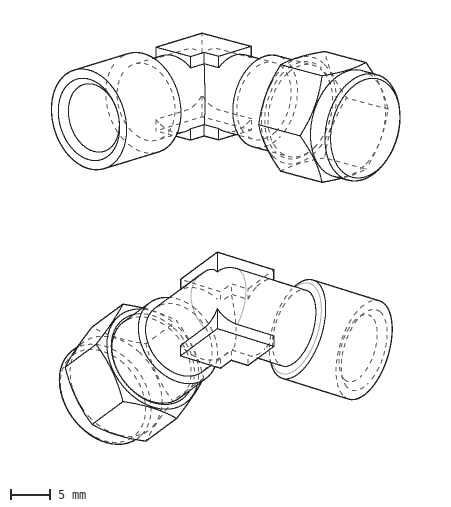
import cadquery as cq
import math

arm_radius = 5.0
shoulder_start = 10.5
shoulder_radius = 5.95
shoulder_rise = 0.2

block_half_width = 3.0
block_reach = 5.5
block_half_height = 5.5

socket_radius = 6.5
socket_end = 21.0
socket_chamfer_length = 0.3
recess_mouth_radius = 5.3
recess_floor_radius = 4.4
recess_depth = recess_mouth_radius - recess_floor_radius

nut_start = 16.5
nut_end = 25.0
nut_across_flats = 14.0
nut_across_corners = nut_across_flats / math.cos(math.radians(30))
nut_chamfer_angle = math.radians(30)
countersink_radius = 6.25
countersink_depth = countersink_radius - shoulder_radius

collar_radius = 6.9
collar_end = 28.0
collar_chamfer = 0.5


def revolve_about_x(points):
    """Revolve a closed (axial, radial) outline about the X axis."""
    return cq.Workplane("XY").polyline(points).close().revolve(360, (0, 0, 0), (1, 0, 0))


def make_nut_arm():
    """Arm along +X with its shoulder, running into the chamfered collar."""
    return revolve_about_x([
        (0, 0),
        (0, arm_radius),
        (shoulder_start, arm_radius),
        (shoulder_start + shoulder_rise, shoulder_radius),
        (nut_end, shoulder_radius),
        (nut_end, collar_radius),
        (collar_end - collar_chamfer, collar_radius),
        (collar_end, collar_radius - collar_chamfer),
        (collar_end, 0),
    ])


def make_socket_arm():
    """Arm along -Y ending in the wider socket with a shallow conical recess."""
    socket_start = shoulder_start + shoulder_rise
    arm = revolve_about_x([
        (0, 0),
        (0, arm_radius),
        (shoulder_start, arm_radius),
        (socket_start, shoulder_radius),
        (socket_start + socket_chamfer_length, socket_radius),
        (socket_end, socket_radius),
        (socket_end, recess_mouth_radius),
        (socket_end - recess_depth, recess_floor_radius),
        (socket_end - recess_depth, 0),
    ])
    return arm.rotate((0, 0, 0), (0, 0, 1), -90)


def make_corner_block():
    """L-shaped prism giving wrench flats above and below the elbow."""
    return (
        cq.Workplane("XY")
        .workplane(offset=-block_half_height)
        .moveTo(-block_half_width, block_half_width)
        .lineTo(block_reach, block_half_width)
        .lineTo(block_reach, -block_half_width)
        .lineTo(block_half_width, -block_half_width)
        .lineTo(block_half_width, -block_reach)
        .lineTo(-block_half_width, -block_reach)
        .close()
        .extrude(2 * block_half_height)
    )


def make_nut():
    """Hexagonal nut, flats facing +Z and -Z, corners chamfered, countersunk towards the elbow."""
    hexagon = (
        cq.Workplane("YZ")
        .workplane(offset=nut_start)
        .polygon(6, nut_across_corners)
        .extrude(nut_end - nut_start)
    )
    corner_radius = nut_across_corners / 2
    envelope_margin = 0.2
    envelope_radius = corner_radius + envelope_margin
    cone_length = (envelope_radius - collar_radius) * math.tan(nut_chamfer_angle)
    envelope = revolve_about_x([
        (nut_start, 0),
        (nut_start, collar_radius),
        (nut_start + cone_length, envelope_radius),
        (nut_end - cone_length, envelope_radius),
        (nut_end, collar_radius),
        (nut_end, 0),
    ])
    countersink = revolve_about_x([
        (nut_start, 0),
        (nut_start, countersink_radius),
        (nut_start + countersink_depth, shoulder_radius),
        (nut_start + countersink_depth, 0),
    ])
    return hexagon.intersect(envelope).cut(countersink)


elbow_ball = cq.Workplane("XY").sphere(arm_radius)

result = (
    make_nut_arm()
    .union(make_socket_arm())
    .union(elbow_ball)
    .union(make_corner_block())
    .union(make_nut())
)